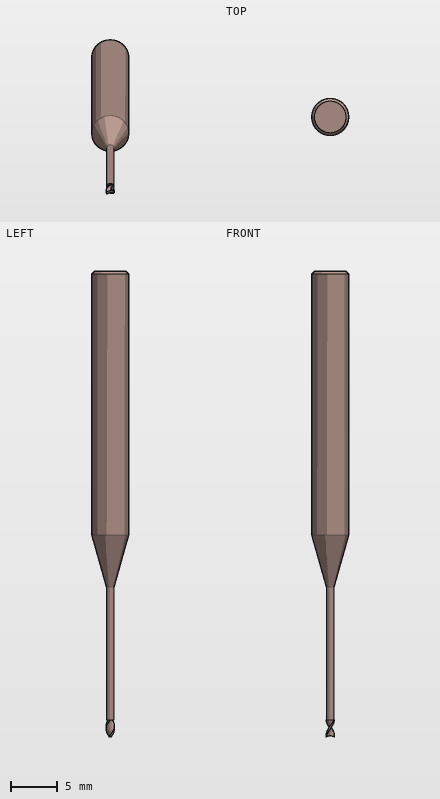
import cadquery as cq
import math

TOTAL_LENGTH = 50.0

SHANK_RADIUS = 2.0
SHANK_CHAMFER = 0.3
SHANK_BOTTOM = 21.65
CONE_BOTTOM = 16.1
NECK_RADIUS = 0.425

CUTTER_RADIUS = 0.45
CUTTER_LENGTH = 1.8
BLADE_THICKNESS = 0.25
HELIX_ANGLE = 35.0
DISH_DEPTH = 0.15
DISH_HALF_WIDTH = 0.4


def make_shank():
    """Chamfered shank, cone and slender neck, turned about Z."""
    chamfer_radius = SHANK_RADIUS - SHANK_CHAMFER
    return (
        cq.Workplane("XZ")
        .moveTo(0, CUTTER_LENGTH)
        .lineTo(NECK_RADIUS, CUTTER_LENGTH)
        .lineTo(NECK_RADIUS, CONE_BOTTOM)
        .lineTo(SHANK_RADIUS, SHANK_BOTTOM)
        .lineTo(SHANK_RADIUS, TOTAL_LENGTH - SHANK_CHAMFER)
        .lineTo(chamfer_radius, TOTAL_LENGTH)
        .lineTo(0, TOTAL_LENGTH)
        .close()
        .revolve(360, (0, 0, 0), (0, 1, 0))
    )


def blade_profile():
    """Cross-section of the two blades: flat flutes and round lands."""
    half_thickness = BLADE_THICKNESS / 2
    land_x = math.sqrt(CUTTER_RADIUS**2 - half_thickness**2)
    return (
        cq.Workplane("XY")
        .moveTo(-land_x, -half_thickness)
        .lineTo(land_x, -half_thickness)
        .threePointArc((CUTTER_RADIUS, 0), (land_x, half_thickness))
        .lineTo(-land_x, half_thickness)
        .threePointArc((-CUTTER_RADIUS, 0), (-land_x, -half_thickness))
        .close()
    )


def make_dish():
    """Shallow conical hollow in the end face."""
    return (
        cq.Workplane("XZ")
        .polyline([(0, 0), (DISH_HALF_WIDTH, 0), (0, DISH_DEPTH)])
        .close()
        .revolve(360, (0, 0, 0), (0, 1, 0))
    )


def make_cutter():
    """Right-hand helical blades with a dished end."""
    twist = math.degrees(CUTTER_LENGTH * math.tan(math.radians(HELIX_ANGLE)) / CUTTER_RADIUS)
    return blade_profile().twistExtrude(CUTTER_LENGTH, twist).cut(make_dish())


shank = make_shank()
cutter = make_cutter()

result = cq.Compound.makeCompound([shank.val(), cutter.val()])